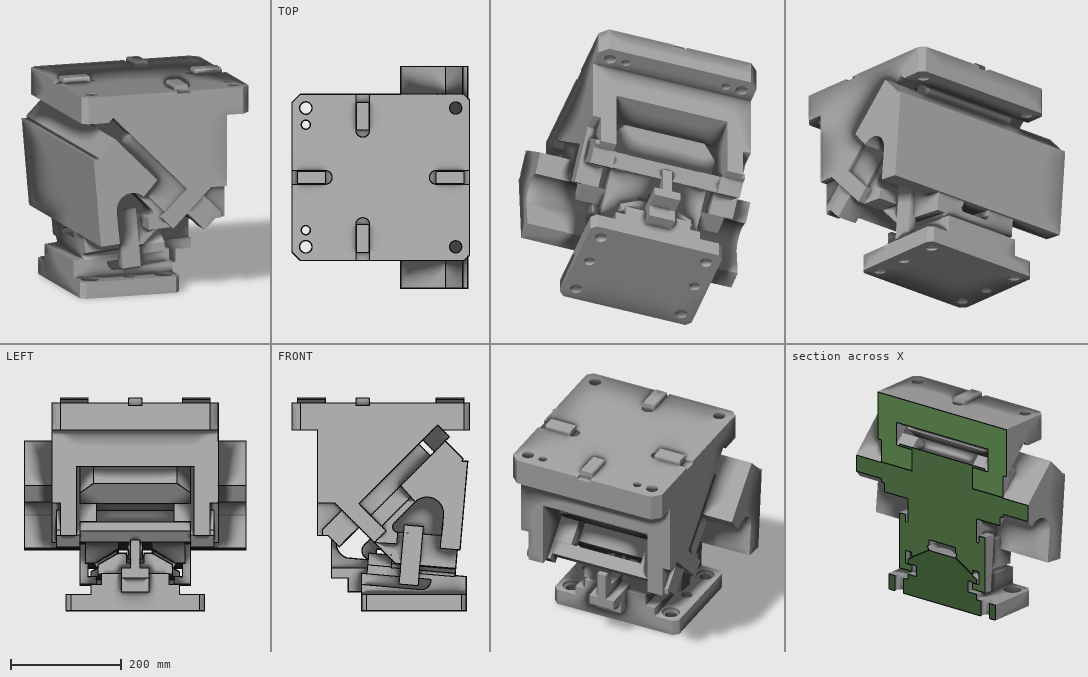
import cadquery as cq
import math


PLATE_LENGTH = 320
PLATE_WIDTH = 300
PLATE_TOP = 375
PLATE_BOTTOM = 326
PLATE_LEFT_CHAMFER = 15
PLATE_RIGHT_CHAMFER = 10
BOLT_DIAMETER = 22
BOLT_INSET = 25
DOWEL_DIAMETER = 16
DOWEL_Y = 95
KEY_WIDTH = 25
KEY_LENGTH = 50
KEY_TOP = 384
KEY_SEAT_DEPTH = 5
KEY_CHAMFER = (3, 1.5)
KEY_X_INSET = 10
KEY_Y_INSET = 15
CROSS_KEY_X = 127.5
CHEEK_LEFT = 46
CHEEK_BOTTOM = 136
CHEEK_OUTER = PLATE_WIDTH / 2
CHEEK_INNER = 105.5
CHEEK_STEP_Z = 195
CHEEK_STEP_Y = 135
WINDOW_TOP = 260

RAIL_START_X = 120.8
RAIL_START_Z = 193.3
RAIL_RISE = math.radians(45)
RAIL_INNER = 70
RAIL_OUTER = 142
RAIL_THICKNESS = 30
RAIL_LOW_END = -80
RAIL_HIGH_END = 152
LEG_WIDTH = 30
LEG_DROP = 69
BAR_START = -69
BAR_END = -45
BAR_HALF_WIDTH = 100
BAR_INSET = 1
STOP_RISE = 13.5

WING_OUTER = 200
CORE_SIDE = 90
WING_START = 76
WING_TOP_END = 190
WING_END_DROP = 75
WORK_FACE_TOP = (317, 270)
WORK_FACE_LIP_X = 307
WING_FOOT_Z = 110
WING_FOOT_LENGTH = 36
NOTCH_CENTRE = (243.2, 175.2)
NOTCH_RADIUS = 30
POCKET_CORNER = (190.4, 141.8)
POCKET_ARC_START = (184.3, 158.5)
POCKET_ARC_MIDDLE = (181.5, 150)
POCKET_FLOOR_RIGHT = (270.5, 136)
POCKET_DEPTH = 10
WEB_OUTER = 135
WEB_STEP = (189, 121)
GIB_DROP = 57.4
HEAD_HALF_WIDTH = 100
HEAD_RISE = 52
HEAD_CHAMFER = 25
HEAD_END = 130
NECK_START = 13
CATCH_START = 162.5
CATCH_END = 200.5
CATCH_HALF_WIDTH = 100

TILT = math.radians(5)
GUIDE_X = 137
GUIDE_Z = 104.5
GUIDE_START = 1.5
GUIDE_LENGTH = 160
GUIDE_FLAT = 30
GUIDE_NARROW = 67
GUIDE_WIDE = 80
GUIDE_WIDE_START = 61
GUIDE_UNDERSIDE = -37.5
V_ANGLE = math.radians(30)
V_SLOPE = math.tan(V_ANGLE)
BASE_LEFT = 125.5
BASE_LENGTH = 189
BASE_PLATE_WIDTH = 250
BASE_PLATE_THICKNESS = 30
BASE_CHAMFER = 9
BASE_HOLE_Y = 100
BASE_BOLT_DIAMETER = 22
BASE_BOLT_INSET = 25
COUNTERBORE_DIAMETER = 33
COUNTERBORE_DEPTH = 5
BASE_DOWEL_DIAMETER = 20
BASE_DOWEL_X = 215
NECK_HALF_WIDTH = 61
SLOT_HEIGHT = 20
SLOT_END_RADIUS = 18
SLOT_END = 117.5
END_BLOCK_TOP = 64
CHANNEL_WIDTH = 32
CHANNEL_FLOOR = 86.5
CHANNEL_LENGTH = 60
FIN_LEFT = 71
FIN_TOP = 127.5
FIN_TIP = 10
FIN_ARC_MIDDLE = (85, 106)
FIN_ARC_END = (99, 95.8)
FIN_EMBED = 5
FIN_HALF_WIDTH = 8.5
FIN_BLOCK_HALF_WIDTH = 24.5
FIN_BLOCK_TOP = 77
FIN_BLOCK_STEP = (101, 59)
FIN_BLOCK_BOTTOM = 34.5

CEILING = 19.8
SHOE_START = 44
SHOE_EDGE_Y = 69.5
SHOE_THICKNESS = 8.5
UNDERSIDE = -14
HOOK_START = 60.6
HOOK_WIDTH = 34.5
HOOK_TOP = 56
HOOK_BOTTOM = -50.8
HOOK_INNER = 85
HOOK_OUTER = 100
HOOK_FOOT_INNER = 70

TAB_HALF_WIDTH = 13
TAB_ROOT = (141.3, 129.5)
TAB_SHOULDER = (130, 119)
TAB_NOSE = (126.3, 106)
TAB_TOE = (136, 94)
TAB_BACK_X = 152
TAB_GAP_TOP = 111
TAB_OVERLAP = 10

FAR = 400


def rail_point(along, drop):
    """X and Z of a point in the 45 degree rail frame."""
    half = math.sqrt(0.5)
    return (RAIL_START_X + (along + drop) * half, RAIL_START_Z + (along - drop) * half)


def guide_point(along, up):
    """X and Z of a point in the 5 degree guide frame."""
    return (
        GUIDE_X + along * math.cos(TILT) + up * math.sin(TILT),
        GUIDE_Z - along * math.sin(TILT) + up * math.cos(TILT),
    )


def guide_z(x, up):
    """Height at x of the sloping plane that lies `up` above the guide's upper face."""
    return GUIDE_Z + up / math.cos(TILT) - (x - GUIDE_X) * math.tan(TILT)


def prism(points, y_min, y_max):
    """Straight-sided XZ outline extruded from y_min to y_max."""
    return cq.Workplane("XZ", origin=(0, y_max, 0)).polyline(points).close().extrude(y_max - y_min)


def frame_block(frame, start, end, low, high, y_min, y_max):
    """Rectangular block lying square in one of the sloping frames."""
    corners = [frame(start, low), frame(end, low), frame(end, high), frame(start, high)]
    return prism(corners, y_min, y_max)


def both_sides(shape):
    return shape.union(shape.mirror("XZ"))


def sloped_prism(section, start, rise, length):
    """Cross-section (y, up) at the XZ point `start`, extruded in X and Z at the angle `rise`."""
    plane = cq.Plane(
        origin=(start[0], 0, start[1]), xDir=(0, 1, 0), normal=(math.cos(rise), 0, math.sin(rise))
    )
    return cq.Workplane(plane).polyline(section).close().extrude(length)


def guide_prism(section, start, end):
    return sloped_prism(section, guide_point(start, 0), -TILT, end - start)


def whole_section(half_section):
    """Half cross-section completed by its mirror image about Y = 0."""
    return half_section + [(-y, up) for y, up in reversed(half_section)]


def key_seat(x, y, angle):
    """Round-ended seat running inwards from the plate edge point (x, y), and the key in it."""
    inset = KEY_X_INSET if angle in (0, 180) else KEY_Y_INSET
    run = inset + KEY_LENGTH
    floor = PLATE_TOP - KEY_SEAT_DEPTH
    slot = cq.Workplane("XY").box(run, KEY_WIDTH, KEY_SEAT_DEPTH, centered=(False, True, False))
    slot = slot.union(cq.Workplane("XY").center(run, 0).circle(KEY_WIDTH / 2).extrude(KEY_SEAT_DEPTH))
    key = cq.Workplane("XY").box(KEY_LENGTH, KEY_WIDTH, KEY_TOP - floor, centered=(False, True, False))
    key = key.faces(">Z").edges("|X").chamfer(*KEY_CHAMFER).translate((inset, 0, 0))
    return [shape.rotate((0, 0, 0), (0, 0, 1), angle).translate((x, y, floor)) for shape in (slot, key)]


def make_plate():
    plate = cq.Workplane("XY").box(
        PLATE_LENGTH, PLATE_WIDTH, PLATE_TOP - PLATE_BOTTOM, centered=(False, True, False)
    )
    plate = plate.edges("|Z and <X").chamfer(PLATE_LEFT_CHAMFER)
    plate = plate.edges("|Z and >X").chamfer(PLATE_RIGHT_CHAMFER)
    plate = plate.translate((0, 0, PLATE_BOTTOM))
    half = PLATE_WIDTH / 2
    seats = [(0, 0, 0), (PLATE_LENGTH, 0, 180), (CROSS_KEY_X, -half, 90), (CROSS_KEY_X, half, -90)]
    for x, y, angle in seats:
        slot, key = key_seat(x, y, angle)
        plate = plate.cut(slot).union(key)
    bolt_y = half - BOLT_INSET
    bolts = [(x, y) for x in (BOLT_INSET, PLATE_LENGTH - BOLT_INSET) for y in (-bolt_y, bolt_y)]
    dowels = [(BOLT_INSET, -DOWEL_Y), (BOLT_INSET, DOWEL_Y)]
    plate = plate.cut(cq.Workplane("XY").pushPoints(bolts).circle(BOLT_DIAMETER / 2).extrude(PLATE_TOP))
    return plate.cut(cq.Workplane("XY").pushPoints(dowels).circle(DOWEL_DIAMETER / 2).extrude(PLATE_TOP))


def make_holder_body():
    """Block under the plate: two cheeks that end on the rails, each with a leg below."""
    rail_rise = RAIL_START_Z - RAIL_START_X
    leg_low = rail_point(-LEG_WIDTH, 0)
    foot_sum = sum(leg_low)
    outline = [
        (CHEEK_LEFT, PLATE_BOTTOM),
        (CHEEK_LEFT, CHEEK_BOTTOM),
        (CHEEK_BOTTOM - rail_rise, CHEEK_BOTTOM),
        leg_low,
        rail_point(-LEG_WIDTH, LEG_DROP),
        rail_point(0, LEG_DROP),
        rail_point(0, 0),
        (PLATE_BOTTOM - rail_rise, PLATE_BOTTOM),
    ]
    body = prism(outline, -CHEEK_OUTER, CHEEK_OUTER)
    outer_step = prism(
        [
            (0, CHEEK_STEP_Z),
            (foot_sum - CHEEK_STEP_Z, CHEEK_STEP_Z),
            leg_low,
            (foot_sum, 0),
            (0, 0),
        ],
        -CHEEK_OUTER,
        -CHEEK_STEP_Y,
    )
    head_rise = rail_rise + HEAD_RISE * math.sqrt(2)
    cavity = [
        (0, 0),
        (0, WINDOW_TOP),
        (WINDOW_TOP - head_rise, WINDOW_TOP),
        (PLATE_BOTTOM - head_rise, PLATE_BOTTOM),
        (PLATE_LENGTH, PLATE_BOTTOM),
        (PLATE_LENGTH, 0),
    ]
    return body.cut(both_sides(outer_step)).cut(prism(cavity, -CHEEK_INNER, CHEEK_INNER))


def make_rails():
    """Two rails tied at their low ends by a cross bar, with stop blocks beside the cheeks."""
    rail = frame_block(rail_point, BAR_END, RAIL_HIGH_END, 0, RAIL_THICKNESS, RAIL_INNER, RAIL_OUTER)
    tail = frame_block(rail_point, RAIL_LOW_END, BAR_END, 0, RAIL_THICKNESS, BAR_HALF_WIDTH, RAIL_OUTER)
    corner = rail_point(RAIL_LOW_END, -STOP_RISE)
    stop = prism(
        [
            corner,
            (corner[0], CHEEK_BOTTOM),
            (sum(corner) - CHEEK_BOTTOM, CHEEK_BOTTOM),
            rail_point(-LEG_WIDTH, 0),
            rail_point(-LEG_WIDTH, -STOP_RISE),
        ],
        CHEEK_INNER,
        RAIL_OUTER,
    )
    bar = frame_block(
        rail_point,
        BAR_START,
        BAR_END,
        BAR_INSET,
        RAIL_THICKNESS - BAR_INSET,
        -BAR_HALF_WIDTH,
        BAR_HALF_WIDTH,
    )
    return both_sides(rail.union(tail).union(stop)).union(bar)


def make_holder():
    catch_relief = frame_block(
        rail_point, RAIL_HIGH_END, CATCH_END, 0, RAIL_THICKNESS, -CHEEK_OUTER, CHEEK_OUTER
    )
    return make_plate().union(make_holder_body()).union(make_rails()).cut(catch_relief)


notch_left = (
    NOTCH_CENTRE[0] - NOTCH_RADIUS * math.sqrt(0.5),
    NOTCH_CENTRE[1] + NOTCH_RADIUS * math.sqrt(0.5),
)
notch_top = (NOTCH_CENTRE[0], NOTCH_CENTRE[1] + NOTCH_RADIUS)
notch_right = (
    NOTCH_CENTRE[0] + NOTCH_RADIUS * math.cos(TILT),
    NOTCH_CENTRE[1] - NOTCH_RADIUS * math.sin(TILT),
)
work_face_foot = (
    WORK_FACE_TOP[0] - (WORK_FACE_TOP[1] - WING_FOOT_Z) * math.tan(TILT),
    WING_FOOT_Z,
)
wing_foot = (
    work_face_foot[0] - WING_FOOT_LENGTH,
    WING_FOOT_Z + WING_FOOT_LENGTH * math.tan(TILT),
)
upper_face = [
    rail_point(WING_TOP_END, RAIL_THICKNESS),
    rail_point(WING_TOP_END, WING_END_DROP),
    (WORK_FACE_LIP_X, WORK_FACE_TOP[1]),
    WORK_FACE_TOP,
    work_face_foot,
]


def make_wing():
    """Side wing with a round-topped notch behind its working leg."""
    outline = cq.Workplane("XZ", origin=(0, WING_OUTER, 0))
    start = rail_point(WING_START, RAIL_THICKNESS)
    outline = outline.polyline([start] + upper_face + [wing_foot, notch_right])
    return outline.threePointArc(notch_top, notch_left).close().extrude(WING_OUTER - CORE_SIDE)


def make_web():
    """Inner part of the wing that reaches down to the holder's legs, with the gib on its side."""
    outline = cq.Workplane("XZ", origin=(0, WEB_OUTER, 0))
    outline = outline.polyline(
        [
            POCKET_CORNER,
            WEB_STEP,
            rail_point(-LEG_WIDTH, LEG_DROP),
            rail_point(0, LEG_DROP),
            rail_point(0, RAIL_THICKNESS),
            rail_point(WING_START, RAIL_THICKNESS),
            notch_left,
            POCKET_ARC_START,
        ]
    )
    web = outline.threePointArc(POCKET_ARC_MIDDLE, POCKET_CORNER).close().extrude(WEB_OUTER - CORE_SIDE)
    gib = frame_block(rail_point, 0, WING_START, RAIL_THICKNESS, GIB_DROP, CORE_SIDE, RAIL_OUTER)
    return web.union(gib)


def make_core():
    """Centre of the slide, with side pockets behind the wing notches."""
    low_x, low_z = rail_point(-LEG_WIDTH, 0)
    tail_sum = low_x + low_z
    guide_end = guide_point(GUIDE_LENGTH, UNDERSIDE)
    slope = math.tan(TILT)
    meet_x = (tail_sum - guide_z(0, UNDERSIDE)) / (1 - slope)
    outline = [rail_point(-LEG_WIDTH, RAIL_THICKNESS)] + upper_face + [
        (guide_end[0] + (WING_FOOT_Z - guide_end[1]) * slope, WING_FOOT_Z),
        guide_end,
        (meet_x, tail_sum - meet_x),
    ]
    core = prism(outline, -CORE_SIDE, CORE_SIDE)
    pocket = cq.Workplane("XZ", origin=(0, CORE_SIDE, 0)).moveTo(*POCKET_CORNER)
    pocket = pocket.lineTo(*POCKET_FLOOR_RIGHT).lineTo(*notch_right).threePointArc(notch_top, notch_left)
    pocket = pocket.lineTo(*POCKET_ARC_START).threePointArc(POCKET_ARC_MIDDLE, POCKET_CORNER)
    return core.cut(both_sides(pocket.close().extrude(POCKET_DEPTH)))


def slope_up(y):
    """Height of the guide's V flank at y, measured from the guide's upper face."""
    return (GUIDE_FLAT - abs(y)) * V_SLOPE


def make_guide_clearance():
    """Roof-shaped channel under the core, standing clear of the guide by the shoe thickness."""
    rise = SHOE_THICKNESS / math.cos(V_ANGLE)
    eave_y = GUIDE_FLAT + (rise - UNDERSIDE) / V_SLOPE
    half_channel = [(GUIDE_FLAT, CEILING), (GUIDE_FLAT, rise), (eave_y, UNDERSIDE), (eave_y, -FAR)]
    return guide_prism(whole_section(half_channel), -FAR, FAR)


def make_shoes():
    """Wear shoes between the core and the two flanks of the V guide."""
    across = SHOE_THICKNESS * math.sin(V_ANGLE)
    up = SHOE_THICKNESS * math.cos(V_ANGLE)
    lower = [(y, slope_up(y)) for y in (GUIDE_FLAT, SHOE_EDGE_Y)]
    upper = [(y + across, z + up) for y, z in reversed(lower)]
    return both_sides(guide_prism(lower + upper, SHOE_START, GUIDE_LENGTH))


def make_hanger():
    """T head and neck that hang the slide between the rails, and the catch above the rail ends."""
    shoulder = HEAD_HALF_WIDTH - HEAD_CHAMFER
    half_head = [(HEAD_HALF_WIDTH, 0), (HEAD_HALF_WIDTH, HEAD_RISE - HEAD_CHAMFER), (shoulder, HEAD_RISE)]
    head = sloped_prism(whole_section(half_head), rail_point(0, 0), RAIL_RISE, HEAD_END)
    neck = frame_block(rail_point, NECK_START, HEAD_END, 0, RAIL_THICKNESS, -RAIL_INNER, RAIL_INNER)
    catch = frame_block(
        rail_point, CATCH_START, CATCH_END, 0, RAIL_THICKNESS, -CATCH_HALF_WIDTH, CATCH_HALF_WIDTH
    )
    return head.union(neck).union(catch)


def make_hook():
    """Return hook: a plate down the slide's side with a foot that reaches under the guide's flange."""
    end = HOOK_START + HOOK_WIDTH
    plate = frame_block(guide_point, HOOK_START, end, HOOK_BOTTOM, HOOK_TOP, HOOK_INNER, HOOK_OUTER)
    foot = frame_block(
        guide_point, HOOK_START, end, HOOK_BOTTOM, GUIDE_UNDERSIDE, HOOK_FOOT_INNER, HOOK_OUTER
    )
    return plate.union(foot)


def make_tab():
    """Rounded fork on the slide's tail: two tines that dip into the guide's channel."""
    outline = cq.Workplane("XZ", origin=(0, TAB_HALF_WIDTH, 0)).moveTo(*TAB_ROOT).lineTo(*TAB_SHOULDER)
    outline = outline.threePointArc(TAB_NOSE, TAB_TOE).lineTo(TAB_BACK_X, TAB_TOE[1])
    gap_end = sum(TAB_ROOT) - TAB_GAP_TOP
    outline = outline.lineTo(TAB_BACK_X, TAB_GAP_TOP).lineTo(gap_end, TAB_GAP_TOP)
    outline = outline.lineTo(gap_end + TAB_OVERLAP, TAB_GAP_TOP + TAB_OVERLAP)
    outline = outline.lineTo(TAB_ROOT[0] + TAB_OVERLAP, TAB_ROOT[1] + TAB_OVERLAP)
    tab = outline.close().extrude(2 * TAB_HALF_WIDTH)
    return tab.cut(cq.Workplane("XY").box(FAR, 2 * FIN_HALF_WIDTH, FAR))


def make_slide():
    slide = make_core().cut(make_guide_clearance()).union(make_shoes())
    slide = slide.union(both_sides(make_wing().union(make_web())))
    return slide.union(make_hanger()).union(both_sides(make_hook())).union(make_tab())


def make_base_plate():
    plate = cq.Workplane("XY", origin=(BASE_LEFT, 0, 0)).box(
        BASE_LENGTH, BASE_PLATE_WIDTH, BASE_PLATE_THICKNESS, centered=(False, True, False)
    )
    plate = plate.edges("|Z").chamfer(BASE_CHAMFER)
    ends = (BASE_LEFT + BASE_BOLT_INSET, BASE_LEFT + BASE_LENGTH - BASE_BOLT_INSET)
    bolts = [(x, y) for x in ends for y in (-BASE_HOLE_Y, BASE_HOLE_Y)]
    dowels = [(BASE_DOWEL_X, -BASE_HOLE_Y), (BASE_DOWEL_X, BASE_HOLE_Y)]
    top = cq.Workplane("XY", origin=(0, 0, BASE_PLATE_THICKNESS))
    plate = plate.cut(top.pushPoints(bolts).circle(BASE_BOLT_DIAMETER / 2).extrude(-BASE_PLATE_THICKNESS))
    plate = plate.cut(top.pushPoints(bolts).circle(COUNTERBORE_DIAMETER / 2).extrude(-COUNTERBORE_DEPTH))
    return plate.cut(top.pushPoints(dowels).circle(BASE_DOWEL_DIAMETER / 2).extrude(-BASE_PLATE_THICKNESS))


def make_pedestal():
    """Block under the guide, with a slot along each side for the hook's foot."""
    right = BASE_LEFT + BASE_LENGTH
    guide_end_x = guide_point(GUIDE_LENGTH, GUIDE_UNDERSIDE)[0]
    outline = [
        (BASE_LEFT, BASE_PLATE_THICKNESS),
        (BASE_LEFT, guide_z(BASE_LEFT, GUIDE_UNDERSIDE)),
        (guide_end_x, guide_z(guide_end_x, GUIDE_UNDERSIDE)),
        (guide_end_x, END_BLOCK_TOP),
        (right, END_BLOCK_TOP - (right - guide_end_x) * math.tan(TILT)),
        (right, BASE_PLATE_THICKNESS),
    ]
    pedestal = prism(outline, -GUIDE_WIDE, GUIDE_WIDE)
    slot_floor = GUIDE_UNDERSIDE - SLOT_HEIGHT
    slot = frame_block(
        guide_point, -FAR, SLOT_END, slot_floor, GUIDE_UNDERSIDE, -GUIDE_WIDE, -NECK_HALF_WIDTH
    )
    slot = slot.edges("|Y").edges("<Z").fillet(SLOT_END_RADIUS)
    return pedestal.cut(both_sides(slot))


def make_guide():
    """V guide, narrow at the front where the hooks enter, with a channel for the slide's tab."""

    def section(half_width):
        half = [(GUIDE_FLAT, 0), (half_width, slope_up(half_width)), (half_width, GUIDE_UNDERSIDE)]
        return whole_section(half)

    narrow = guide_prism(section(GUIDE_NARROW), GUIDE_START, GUIDE_WIDE_START)
    wide = guide_prism(section(GUIDE_WIDE), GUIDE_WIDE_START, GUIDE_LENGTH)
    channel = cq.Workplane("XY", origin=(GUIDE_X, 0, CHANNEL_FLOOR)).slot2D(
        2 * CHANNEL_LENGTH, CHANNEL_WIDTH
    ).extrude(FAR)
    return narrow.union(wide).cut(channel)


def make_fin():
    """Upright fin ahead of the guide, with a hollow rounded crest and a thicker stepped root."""
    fin_right = GUIDE_X + FIN_EMBED
    outline = cq.Workplane("XZ", origin=(0, FIN_HALF_WIDTH, 0)).moveTo(FIN_LEFT, FIN_BLOCK_TOP)
    outline = outline.lineTo(FIN_LEFT, FIN_TOP).lineTo(FIN_LEFT + FIN_TIP, FIN_TOP)
    outline = outline.threePointArc(FIN_ARC_MIDDLE, FIN_ARC_END)
    outline = outline.lineTo(fin_right, FIN_ARC_END[1] - (fin_right - FIN_ARC_END[0]) * math.tan(TILT))
    fin = outline.lineTo(fin_right, FIN_BLOCK_TOP).close().extrude(2 * FIN_HALF_WIDTH)
    step_x, step_z = FIN_BLOCK_STEP
    root = prism(
        [
            (FIN_LEFT, FIN_BLOCK_TOP),
            (fin_right, FIN_BLOCK_TOP),
            (fin_right, FIN_BLOCK_BOTTOM),
            (step_x, FIN_BLOCK_BOTTOM),
            (step_x, step_z),
            (FIN_LEFT, step_z),
        ],
        -FIN_BLOCK_HALF_WIDTH,
        FIN_BLOCK_HALF_WIDTH,
    )
    return fin.union(root)


def make_base():
    return make_base_plate().union(make_pedestal()).union(make_guide()).union(make_fin())


holder = make_holder()
slide = make_slide()
base = make_base()
result = cq.Compound.makeCompound([holder.val(), slide.val(), base.val()])